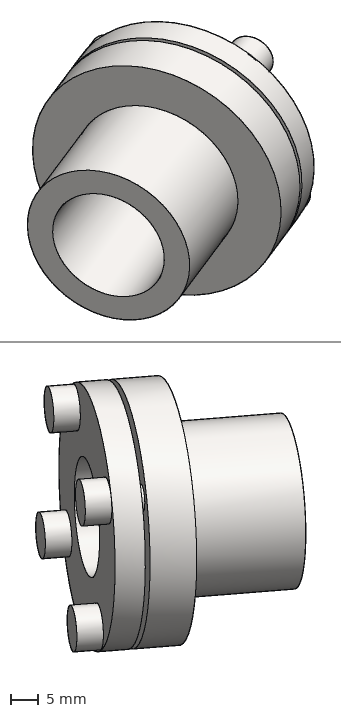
import cadquery as cq
import math

flange_diameter = 49.0
hub_diameter = 32.0
bore_diameter = 22.0
collar_diameter = 29.1

hub_length = 22.0
flange_thickness = 8.6
gap_width = 0.9
plate_thickness = 5.6
head_height = 4.9

screw_count = 4
screw_circle_radius = 20.1
first_screw_angle = 60.0
screw_pitch_angle = 360.0 / screw_count
shank_diameter = 5.0
head_diameter = 8.55

flange_start = hub_length
flange_end = flange_start + flange_thickness
plate_start = flange_end + gap_width
plate_end = plate_start + plate_thickness


def cylinder_along_y(diameter, start, length, x=0.0, z=0.0):
    """Solid cylinder extending from y = start toward +Y."""
    axis_start = cq.Vector(x, start, z)
    solid = cq.Solid.makeCylinder(diameter / 2, length, axis_start, cq.Vector(0, 1, 0))
    return cq.Workplane("XY").newObject([solid])


body = cylinder_along_y(hub_diameter, 0.0, hub_length)
body = body.union(cylinder_along_y(flange_diameter, flange_start, flange_thickness))
body = body.union(cylinder_along_y(collar_diameter, flange_end, gap_width))
body = body.union(cylinder_along_y(flange_diameter, plate_start, plate_thickness))

for index in range(screw_count):
    angle = math.radians(first_screw_angle + index * screw_pitch_angle)
    x = screw_circle_radius * math.cos(angle)
    z = screw_circle_radius * math.sin(angle)
    body = body.union(cylinder_along_y(shank_diameter, flange_end, gap_width, x, z))
    body = body.union(cylinder_along_y(head_diameter, plate_end, head_height, x, z))

result = body.cut(cylinder_along_y(bore_diameter, 0.0, plate_end))